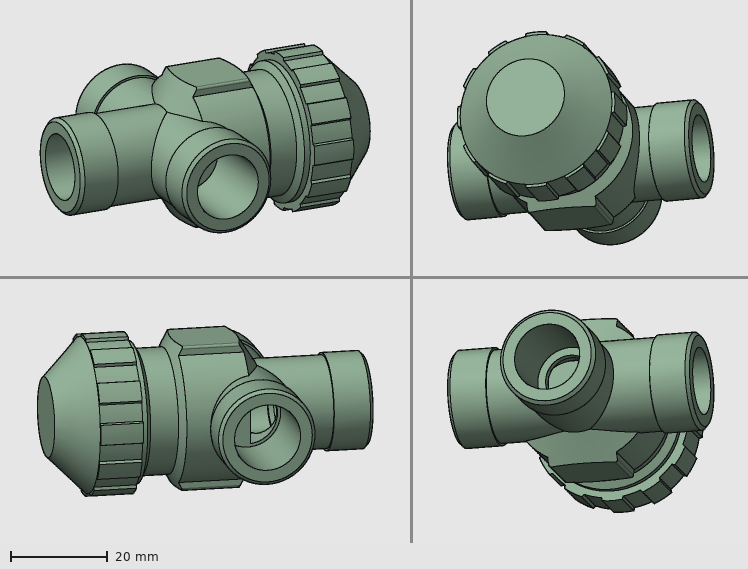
import cadquery as cq
import math


SPAN = 52.0
PORT_REACH = SPAN / 2
TUBE_RADIUS = 9.75
COLLAR_RADIUS = 10.2
COLLAR_LENGTH = 8.4
COLLAR_CHAMFER = 0.75
SOCKET_RADIUS = 7.0
SIDE_SOCKET_END = 6.7
LOWER_SOCKET_END = 8.1

SEAT_MOUTH_RADIUS = 5.3
SEAT_THROAT_RADIUS = 5.1
CHAMBER_START_Y = -6.85
CHAMBER_END_Y = -0.6
CHAMBER_RADIUS = 5.8
SIDE_PASSAGE_RADIUS = 6.3

CONE_SLOPE = math.tan(math.radians(60))
LOWER_CONE_SLOPE = math.tan(math.radians(57))
BOSS_RADIUS = 15.5
BOSS_BOTTOM_Y = 0.95
BOSS_TOP_Y = 14.8
PAD_HALF_WIDTH = 7.4
PAD_EDGE_RADIUS = 0.55

NECK_RADIUS = 13.25
NECK_LENGTH = 5.9
FLANGE_RADIUS = 14.95
FLANGE_RIM = 1.35

OVERALL_LENGTH = 67.3
KNOB_CONE_HEIGHT = 7.95
KNOB_TOP_RADIUS = 8.4
KNOB_RADIUS = KNOB_TOP_RADIUS + KNOB_CONE_HEIGHT
GRIP_DIAMETER = 34.0
LUG_RADIUS = GRIP_DIAMETER / 2
LUG_COUNT = 12
LUG_HALF_WIDTH = 2.15
LUG_ROOT_HALF_WIDTH = 2.35

PAD_REACH = math.hypot(BOSS_RADIUS, PAD_HALF_WIDTH)
BOSS_TIP_Y = BOSS_BOTTOM_Y - BOSS_RADIUS / LOWER_CONE_SLOPE
HOUSING_TOP_Y = BOSS_TOP_Y + (BOSS_RADIUS - NECK_RADIUS) / CONE_SLOPE
FLANGE_CHAMFER_Y = HOUSING_TOP_Y + NECK_LENGTH
FLANGE_RIM_Y = FLANGE_CHAMFER_Y + (FLANGE_RADIUS - NECK_RADIUS) / CONE_SLOPE
KNOB_BOTTOM_Y = FLANGE_RIM_Y + FLANGE_RIM
KNOB_TOP_Y = OVERALL_LENGTH - PORT_REACH
KNOB_SHOULDER_Y = KNOB_TOP_Y - KNOB_CONE_HEIGHT


def turned(points, start_y=None):
    """Solid of revolution about Y through (radius, y) points.

    Both ends are flat, unless start_y gives the tip of a cone at the start.
    """
    if start_y is None:
        start_y = points[0][1]
    outline = [(0, start_y)] + points + [(0, points[-1][1])]
    return cq.Workplane("XY").polyline(outline).close().revolve(360, (0, 0, 0), (0, 1, 0))


def port():
    """Tube with its end collar, pointing along -Y."""
    collar_start = COLLAR_LENGTH - PORT_REACH
    return turned([
        (COLLAR_RADIUS - COLLAR_CHAMFER, -PORT_REACH),
        (COLLAR_RADIUS, COLLAR_CHAMFER - PORT_REACH),
        (COLLAR_RADIUS, collar_start),
        (TUBE_RADIUS, collar_start),
        (TUBE_RADIUS, 0),
    ])


def socket(end):
    """Blind bore along -Y from the port mouth to a flat bottom at the given distance from the origin."""
    return turned([(SOCKET_RADIUS, -PORT_REACH), (SOCKET_RADIUS, -end)])


def toward_side(body, side):
    """Turn a -Y port feature to the -X side (-1) or the +X side (+1)."""
    return body.rotate((0, 0, 0), (0, 0, 1), side * 90)


def boss():
    """Cylinder with tangent wrench pads at +Z and -Z, both limited above and below by the same two cones."""
    height = HOUSING_TOP_Y - BOSS_TIP_Y
    blank = cq.Workplane("XZ", origin=(0, HOUSING_TOP_Y, 0))
    barrel = blank.circle(BOSS_RADIUS).extrude(height)
    pads = (
        blank.rect(2 * PAD_HALF_WIDTH, 2 * BOSS_RADIUS)
        .extrude(height)
        .edges("|Y").fillet(PAD_EDGE_RADIUS)
    )
    pad_overhang = PAD_REACH - BOSS_RADIUS
    cones = turned([
        (PAD_REACH, BOSS_BOTTOM_Y + pad_overhang / LOWER_CONE_SLOPE),
        (PAD_REACH, BOSS_TOP_Y - pad_overhang / CONE_SLOPE),
        (NECK_RADIUS, HOUSING_TOP_Y),
    ], BOSS_TIP_Y)
    return barrel.union(pads).intersect(cones)


def flow_passage():
    """Tapered seat above the lower socket, the chamber above it and a half-round way to the -X socket."""
    seat_and_chamber = turned([
        (SEAT_MOUTH_RADIUS, -LOWER_SOCKET_END),
        (SEAT_THROAT_RADIUS, CHAMBER_START_Y),
        (CHAMBER_RADIUS, CHAMBER_START_Y),
        (CHAMBER_RADIUS, CHAMBER_END_Y),
    ])
    half_chord = math.sqrt(SIDE_PASSAGE_RADIUS**2 - CHAMBER_END_Y**2)
    way = (
        cq.Workplane("YZ", origin=(-SIDE_SOCKET_END, 0, 0))
        .moveTo(CHAMBER_END_Y, half_chord)
        .threePointArc((-SIDE_PASSAGE_RADIUS, 0), (CHAMBER_END_Y, -half_chord))
        .close()
        .extrude(SIDE_SOCKET_END)
    )
    return seat_and_chamber.union(way)


def make_housing():
    body = boss().union(port())
    for side in (-1, 1):
        body = body.union(toward_side(port(), side))
    body = body.cut(socket(LOWER_SOCKET_END))
    for side in (-1, 1):
        body = body.cut(toward_side(socket(SIDE_SOCKET_END), side))
    return body.cut(flow_passage())


def make_bonnet():
    return turned([
        (NECK_RADIUS, HOUSING_TOP_Y),
        (NECK_RADIUS, FLANGE_CHAMFER_Y),
        (FLANGE_RADIUS, FLANGE_RIM_Y),
        (FLANGE_RADIUS, KNOB_BOTTOM_Y),
    ])


def knob_lug():
    grip_length = KNOB_SHOULDER_Y - KNOB_BOTTOM_Y
    edge_height = math.sqrt(LUG_RADIUS**2 - LUG_HALF_WIDTH**2)
    root_height = math.sqrt(KNOB_RADIUS**2 - LUG_ROOT_HALF_WIDTH**2)
    return (
        cq.Workplane("XZ", origin=(0, KNOB_SHOULDER_Y, 0))
        .moveTo(0, 0)
        .lineTo(LUG_ROOT_HALF_WIDTH, root_height)
        .lineTo(LUG_HALF_WIDTH, edge_height)
        .threePointArc((0, LUG_RADIUS), (-LUG_HALF_WIDTH, edge_height))
        .lineTo(-LUG_ROOT_HALF_WIDTH, root_height)
        .close()
        .extrude(grip_length)
    )


def make_knob():
    body = turned([
        (KNOB_RADIUS, KNOB_BOTTOM_Y),
        (KNOB_RADIUS, KNOB_SHOULDER_Y),
        (KNOB_TOP_RADIUS, KNOB_TOP_Y),
    ])
    lug = knob_lug()
    for index in range(LUG_COUNT):
        body = body.union(lug.rotate((0, 0, 0), (0, 1, 0), index * 360 / LUG_COUNT))
    return body


housing = make_housing()
bonnet = make_bonnet()
knob = make_knob()

result = cq.Compound.makeCompound([housing.val(), bonnet.val(), knob.val()])